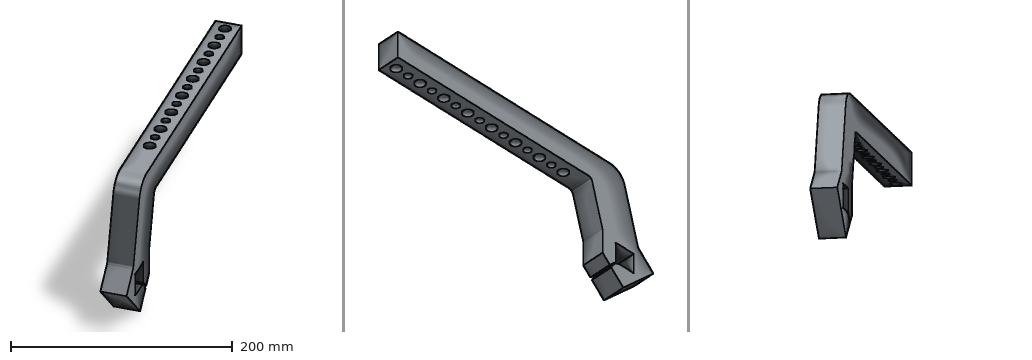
import cadquery as cq
import math

length = 321.0
width = 25.0
height = 136.0
bar_depth = 30.2

lean = math.tan(math.radians(15))
neck_y = 19.0
heel_y = 64.0
heel_z = -82.8
outer_bend_radius = 20.0
inner_bend_radius = 5.0
neck_radius = 5.0

tip_z = -97.5
foot_y = 38.0
neck_z = tip_z + neck_y
heel_bottom_z = -height + (heel_y - foot_y)

socket_size = 22.5
socket_y = 36.0
socket_z = -100.2
slit_mouth = 2.0
slit_inner_width = 3.2
lip_rise = 0.4

large_diameter = 11.0
small_diameter = 8.0
hole_count = 15
row_length = 210.0
hole_pitch = row_length / (hole_count - 1)
end_margin = 10.0


def make_body():
    """Cranked profile extruded across the width, with rounded bends."""
    outer_bend = (neck_y - lean * neck_z, 0)
    inner_bend = (heel_y - lean * (heel_z + bar_depth), -bar_depth)
    neck = (neck_y, neck_z)
    outline = [
        (length, 0),
        outer_bend,
        neck,
        (0, tip_z),
        (foot_y, -height),
        (heel_y, heel_bottom_z),
        (heel_y, heel_z),
        inner_bend,
        (length, -bar_depth),
    ]
    body = cq.Workplane("YZ").polyline(outline).close().extrude(width / 2, both=True)
    bends = (
        (outer_bend, outer_bend_radius),
        (inner_bend, inner_bend_radius),
        (neck, neck_radius),
    )
    for (y, z), radius in bends:
        edge = cq.selectors.NearestToPointSelector((0, y, z))
        body = body.edges("|X").edges(edge).fillet(radius)
    return body


def make_socket():
    """Square opening through the head."""
    return (
        cq.Workplane("YZ")
        .center(socket_y, socket_z)
        .rect(socket_size, socket_size)
        .extrude(width, both=True)
    )


def make_slit():
    """Slit from the socket corner to the 45 degree face, with a rounded lower lip."""
    diagonal = math.sqrt(5.154)
    corner_y = socket_y + socket_size / 2
    corner_z = socket_z - socket_size / 2
    run = (corner_z + height - corner_y + foot_y) / 2
    upper_mouth = (corner_y + run, corner_z - run)
    lower_mouth = (upper_mouth[0] - slit_mouth, upper_mouth[1] - slit_mouth)
    lip_end = (corner_y - slit_inner_width, corner_z)
    lip_middle = (
        (lower_mouth[0] + lip_end[0]) / 2 + lip_rise * diagonal,
        (lower_mouth[1] + lip_end[1]) / 2 + lip_rise * diagonal,
    )
    return (
        cq.Workplane("YZ")
        .moveTo(corner_y, corner_z)
        .lineTo(*upper_mouth)
        .lineTo(*lower_mouth)
        .threePointArc(lip_middle, lip_end)
        .close()
        .extrude(width, both=True)
    )


def make_holes(diameter, first):
    """Every second hole of the row, starting at index first."""
    centres = [
        (0, length - end_margin - index * hole_pitch)
        for index in range(first, hole_count, 2)
    ]
    return (
        cq.Workplane("XY")
        .pushPoints(centres)
        .circle(diameter / 2)
        .extrude(-bar_depth)
    )


result = (
    make_body()
    .cut(make_socket())
    .cut(make_slit())
    .cut(make_holes(large_diameter, 0))
    .cut(make_holes(small_diameter, 1))
)